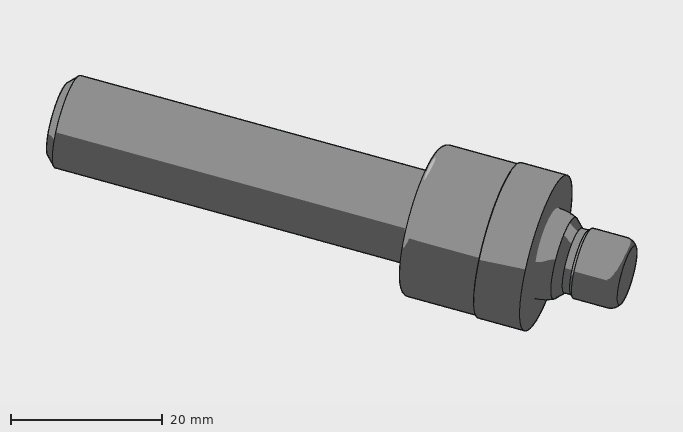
import cadquery as cq
import math

total_length = 79.25
collar_start = 50.8
flange_start = 61.5
flange_end = 67.9
ball_end = 70.5
neck_start = 71.7
neck_end = 72.75
tip_start = 73.15

shaft_radius = 6.35
collar_radius = 10.4
flange_diameter = 21.3
flange_radius = flange_diameter / 2
ball_radius = 6.2
neck_radius = 4.4
tip_radius = 4.8

shaft_chamfer = 1.3
shaft_root_fillet = 0.8
collar_fillet = 0.9
ball_root_fillet = 0.2
tip_nose_length = 1.4
tip_nose_drop = 0.8

diagonal_factor = math.sin(math.pi / 4)


def quarter_arc(sketch, center, radius, x_side, r_side, end):
    """Add a quarter circle whose middle lies on the given side of its center."""
    middle = (
        center[0] + x_side * radius * diagonal_factor,
        center[1] + r_side * radius * diagonal_factor,
    )
    return sketch.threePointArc(middle, end)


def ball_height(x):
    """Radius at x of the ball, which is centered on the flange's end face."""
    return math.sqrt(ball_radius**2 - (x - flange_end) ** 2)


root_start = collar_start - shaft_root_fillet
root_radius = shaft_radius + shaft_root_fillet
profile = (
    cq.Workplane("XY")
    .lineTo(0, shaft_radius - shaft_chamfer)
    .lineTo(shaft_chamfer, shaft_radius)
    .lineTo(root_start, shaft_radius)
)
profile = quarter_arc(
    profile, (root_start, root_radius), shaft_root_fillet, 1, -1, (collar_start, root_radius)
)

collar_face_radius = collar_radius - collar_fillet
collar_round_end = collar_start + collar_fillet
profile = profile.lineTo(collar_start, collar_face_radius)
profile = quarter_arc(
    profile, (collar_round_end, collar_face_radius), collar_fillet, -1, 1, (collar_round_end, collar_radius)
)
ball_start = flange_end + ball_root_fillet
ball_root_radius = ball_height(ball_start) + ball_root_fillet
profile = (
    profile.lineTo(flange_start, collar_radius)
    .lineTo(flange_start, flange_radius)
    .lineTo(flange_end, flange_radius)
    .lineTo(flange_end, ball_root_radius)
)

profile = quarter_arc(
    profile, (ball_start, ball_root_radius), ball_root_fillet, -1, -1, (ball_start, ball_height(ball_start))
)
ball_middle = (ball_start + ball_end) / 2
profile = (
    profile.threePointArc((ball_middle, ball_height(ball_middle)), (ball_end, ball_height(ball_end)))
    .lineTo(neck_start, neck_radius)
    .lineTo(neck_end, neck_radius)
    .lineTo(tip_start, tip_radius)
)

nose_start = total_length - tip_nose_length
profile = (
    profile.lineTo(nose_start, tip_radius)
    .tangentArcPoint((total_length, tip_radius - tip_nose_drop), relative=False)
    .lineTo(total_length, 0)
    .close()
)

result = profile.revolve(360, (0, 0, 0), (1, 0, 0))